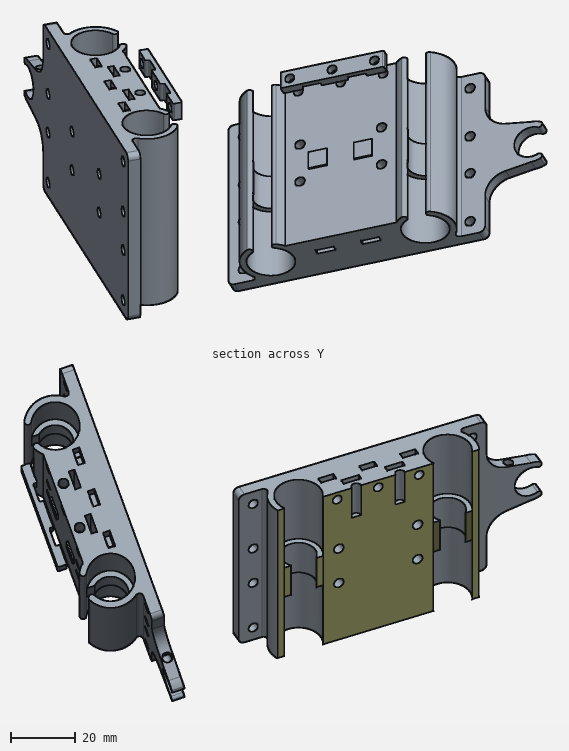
import cadquery as cq
import math


PLATE_LENGTH = 85.0
PLATE_THICKNESS = 4.0
HEIGHT = 60.0
PLATE_CORNER_RADIUS = 2.0
SCREW_DIAMETER = 3.2
EDGE_HOLE_INSET = 5.0
INNER_HOLE_X = 13.5
INNER_HOLE_Z = 7.0

CLIP_X = 25.5
CLIP_BORE_RADIUS = 7.6
CLIP_WALL = 2.2
CLIP_HALF_OPENING_ANGLE = 29
CLIP_AXIS_Y = PLATE_THICKNESS + CLIP_BORE_RADIUS
CLIP_ROOT_RADIUS = 1.2

SPACER_BORE_RADIUS = 5.7
SPACER_OPENING = 8.6
SPACER_LENGTH = 12.0

BLOCK_BACK_Y = 18.2
BELT_X = 7.5
BELT_WIDTH = 6.0
BELT_SLOT_DEPTH = 1.9
RIDGE_DEPTH = 0.6
RIDGE_HEIGHT = BELT_WIDTH
PIN_HOLE_DIAMETER = 3.1
PIN_HOLE_Y = 15.4
PIN_HOLE_LENGTH = 2 * BELT_WIDTH
NUT_WIDTH = 5.2
NUT_THICKNESS = 2.2
NUT_SLOT_Y = 8.0

BAR_LENGTH = 34.2
BAR_THICKNESS = 3.0
BAR_HEIGHT = 6.0
BAR_BACK_Y = 26.0
BAR_NOTCH_DEPTH = 1.4
BAR_EDGE_RADIUS = 0.4
BAR_SCREW_SPACING = 14.0
BAR_SCREW_DIAMETER = 3.0

NUT_SLOT_LENGTH = BAR_HEIGHT
NUT_STEP_X = INNER_HOLE_X + SCREW_DIAMETER / 2
NUT_STEP_DEPTH = 1.0

ARM_REACH = 15.2
FORK_RADIUS = 5.5
FORK_WALL = 2.1
FORK_END_REACH = 18.9
ARM_SLOPE = 9
ARM_ROOT_RADIUS = 8.0
ARM_HOLE_REACH = 8.4
ARM_HOLE_DIAMETER = 3.1
ARM_HOLE_LENGTH = 4.7
ARM_TROUGH_LENGTH = 3.7

TOP = HEIGHT / 2
BAR_MIDDLE_Z = TOP - BAR_HEIGHT / 2
BAR_SCREW_XS = (-BAR_SCREW_SPACING, 0, BAR_SCREW_SPACING)
RIDGE_BACK_Y = BLOCK_BACK_Y + RIDGE_DEPTH


def box(x_size, y_range, z_range, x=0):
    """Box centred on x, between two Y values and two Z values."""
    y_size = y_range[1] - y_range[0]
    z_size = z_range[1] - z_range[0]
    corner = (x - x_size / 2, y_range[0], z_range[0])
    return cq.Workplane("XY").box(x_size, y_size, z_size, centered=False).translate(corner)


def cylinder_y(x, z, diameter, y_start, y_end):
    return cq.Workplane("XZ", origin=(x, y_start, z)).circle(diameter / 2).extrude(y_start - y_end)


def cylinder_z(x, y, diameter, z_start, z_end):
    return cq.Workplane("XY", origin=(x, y, z_start)).circle(diameter / 2).extrude(z_end - z_start)


def c_ring(inner_radius, wall, half_angle, length):
    """Open ring about Z with round ends, its mouth facing +Y."""
    outer = inner_radius + wall
    sine = math.sin(math.radians(half_angle))
    cosine = math.cos(math.radians(half_angle))
    tip = (inner_radius * sine, inner_radius * cosine)
    return (
        cq.Workplane("XY")
        .moveTo(outer * sine, outer * cosine)
        .threePointArc((0, -outer), (-outer * sine, outer * cosine))
        .tangentArcPoint((-tip[0], tip[1]), relative=False)
        .threePointArc((0, -inner_radius), tip)
        .tangentArcPoint((outer * sine, outer * cosine), relative=False)
        .close()
        .extrude(length)
    )


def make_plate():
    plate = box(PLATE_LENGTH, (0, PLATE_THICKNESS), (-TOP, TOP))
    return plate.edges("|Y").fillet(PLATE_CORNER_RADIUS)


def make_arm():
    """Tapering arm that ends in a fork open toward -X."""
    edge_x = -PLATE_LENGTH / 2
    fork_x = edge_x - ARM_REACH
    fork_half = FORK_RADIUS + FORK_WALL
    root_half = fork_half + ARM_REACH * math.tan(math.radians(ARM_SLOPE))
    flank_z = TOP - PLATE_CORNER_RADIUS
    web = (
        cq.Workplane("XZ")
        .polyline([
            (fork_x, -fork_half),
            (edge_x, -root_half),
            (edge_x, -flank_z),
            (edge_x + ARM_ROOT_RADIUS, -flank_z),
            (edge_x + ARM_ROOT_RADIUS, flank_z),
            (edge_x, flank_z),
            (edge_x, root_half),
            (fork_x, fork_half),
        ])
        .close()
        .extrude(-PLATE_THICKNESS)
    )
    for side in (-1, 1):
        corner = cq.selectors.NearestToPointSelector((edge_x, PLATE_THICKNESS / 2, side * root_half))
        web = web.edges(corner).fillet(ARM_ROOT_RADIUS)
    web = web.cut(cylinder_y(fork_x, 0, 2 * FORK_RADIUS, 0, PLATE_THICKNESS))
    tip_reach = FORK_END_REACH - ARM_REACH - FORK_WALL / 2
    tip_angle = math.degrees(math.acos(tip_reach / (FORK_RADIUS + FORK_WALL / 2)))
    fork = (
        c_ring(FORK_RADIUS, FORK_WALL, tip_angle, PLATE_THICKNESS)
        .rotate((0, 0, 0), (0, 0, 1), 90)
        .rotate((0, 0, 0), (1, 0, 0), -90)
        .translate((fork_x, 0, 0))
    )
    return web.union(fork).cut(make_arm_hole(edge_x - ARM_HOLE_REACH, root_half))


def make_arm_hole(x, top_z):
    """Blind hole down from the upper flank, its floor a half-round trough along X."""
    axis_y = PLATE_THICKNESS / 2
    floor_z = top_z - ARM_HOLE_LENGTH
    shaft = cylinder_z(x, axis_y, ARM_HOLE_DIAMETER, floor_z, top_z)
    trough_start = (x - ARM_TROUGH_LENGTH / 2, axis_y, floor_z)
    trough = (
        cq.Workplane("YZ", origin=trough_start)
        .circle(ARM_HOLE_DIAMETER / 2)
        .extrude(ARM_TROUGH_LENGTH)
    )
    return shaft.union(trough)


def make_clip(x):
    ring = c_ring(CLIP_BORE_RADIUS, CLIP_WALL, CLIP_HALF_OPENING_ANGLE, HEIGHT)
    return ring.translate((x, CLIP_AXIS_Y, -TOP))


def make_clip_root(side):
    """Concave fillet between the plate and the outer flank of a clip."""
    outer = CLIP_BORE_RADIUS + CLIP_WALL
    rise = CLIP_AXIS_Y - PLATE_THICKNESS - CLIP_ROOT_RADIUS
    offset = math.sqrt((outer + CLIP_ROOT_RADIUS) ** 2 - rise ** 2)
    centre = (side * (CLIP_X + offset), PLATE_THICKNESS + CLIP_ROOT_RADIUS)
    fill = (
        cq.Workplane("XY", origin=(0, 0, -TOP))
        .polyline([
            (side * CLIP_X, PLATE_THICKNESS),
            (centre[0], PLATE_THICKNESS),
            centre,
            (side * CLIP_X, CLIP_AXIS_Y),
        ])
        .close()
        .extrude(HEIGHT)
    )
    return fill.cut(cylinder_z(*centre, 2 * CLIP_ROOT_RADIUS, -TOP, TOP))


def make_body_shell():
    """Plate, arm, block and clips, before the holes and slots are cut."""
    block = box(2 * CLIP_X, (0, BLOCK_BACK_Y), (-TOP, TOP))
    shell = make_plate().union(make_arm()).union(block)
    for side in (-1, 1):
        x = side * CLIP_X
        bore = cylinder_z(x, CLIP_AXIS_Y, 2 * CLIP_BORE_RADIUS, -TOP, TOP)
        mouth = box(CLIP_BORE_RADIUS, (CLIP_AXIS_Y, BLOCK_BACK_Y), (-TOP, TOP), x)
        shell = shell.union(make_clip_root(side)).cut(bore).cut(mouth).union(make_clip(x))
    return shell


def add_belt_path(body, x):
    """Belt slot, pin hole and the clamping ridge on the back of the block."""
    half_slot = BELT_SLOT_DEPTH / 2
    half_ridge = RIDGE_HEIGHT / 2
    slot = box(BELT_WIDTH, (CLIP_AXIS_Y - half_slot, CLIP_AXIS_Y + half_slot), (-TOP, TOP), x)
    pin_hole = cylinder_z(x, PIN_HOLE_Y, PIN_HOLE_DIAMETER, TOP - PIN_HOLE_LENGTH, TOP)
    ridge = box(BELT_WIDTH, (BLOCK_BACK_Y, RIDGE_BACK_Y), (-half_ridge, half_ridge), x)
    return body.cut(slot).cut(pin_hole).union(ridge)


def cut_nut_slot(body, x):
    """Nut slot open at the top, with the screw hole that reaches it from the back."""
    across = (NUT_SLOT_Y - NUT_THICKNESS / 2, NUT_SLOT_Y + NUT_THICKNESS / 2)
    slot = box(NUT_WIDTH, across, (TOP - NUT_SLOT_LENGTH, TOP), x)
    screw = cylinder_y(x, BAR_MIDDLE_Z, BAR_SCREW_DIAMETER, NUT_SLOT_Y, BLOCK_BACK_Y)
    return body.cut(slot).cut(screw)


def cut_nut_slot_step(body, side):
    """Deeper floor in the inner part of an outer nut slot."""
    floor_z = TOP - NUT_SLOT_LENGTH
    inner_x = BAR_SCREW_SPACING - NUT_WIDTH / 2
    across = (NUT_SLOT_Y - NUT_THICKNESS / 2, NUT_SLOT_Y + NUT_THICKNESS / 2)
    middle_x = side * (NUT_STEP_X + inner_x) / 2
    return body.cut(box(NUT_STEP_X - inner_x, across, (floor_z - NUT_STEP_DEPTH, floor_z), middle_x))


def cut_screw_holes(body):
    """Rows of four along the plate ends and two pairs through the block."""
    edge_x = PLATE_LENGTH / 2 - EDGE_HOLE_INSET
    edge_z = TOP - EDGE_HOLE_INSET
    for side in (-1, 1):
        for z in (-edge_z, -INNER_HOLE_Z, INNER_HOLE_Z, edge_z):
            body = body.cut(cylinder_y(side * edge_x, z, SCREW_DIAMETER, 0, PLATE_THICKNESS))
        for z in (-INNER_HOLE_Z, INNER_HOLE_Z):
            body = body.cut(cylinder_y(side * INNER_HOLE_X, z, SCREW_DIAMETER, 0, RIDGE_BACK_Y))
    return body


def make_carriage():
    body = make_body_shell()
    for side in (-1, 1):
        body = add_belt_path(body, side * BELT_X)
    for x in BAR_SCREW_XS:
        body = cut_nut_slot(body, x)
    for side in (-1, 1):
        body = cut_nut_slot_step(body, side)
    return cut_screw_holes(body)


def make_spacer(x):
    ring = cq.Workplane("XY").circle(CLIP_BORE_RADIUS).circle(SPACER_BORE_RADIUS).extrude(SPACER_LENGTH)
    mouth = box(SPACER_OPENING, (0, CLIP_BORE_RADIUS), (0, SPACER_LENGTH))
    return ring.cut(mouth).translate((x, CLIP_AXIS_Y, -SPACER_LENGTH / 2))


def make_clamp_bar():
    front_y = BAR_BACK_Y - BAR_THICKNESS
    heights = (TOP - BAR_HEIGHT, TOP)
    bar = box(BAR_LENGTH, (front_y, BAR_BACK_Y), heights)
    for x in (-BELT_X, BELT_X):
        bar = bar.cut(box(BELT_WIDTH, (front_y, front_y + BAR_NOTCH_DEPTH), heights, x))
    bar = bar.edges("|Z").fillet(BAR_EDGE_RADIUS)
    for x in BAR_SCREW_XS:
        bar = bar.cut(cylinder_y(x, BAR_MIDDLE_Z, BAR_SCREW_DIAMETER, front_y, BAR_BACK_Y))
    return bar


carriage = make_carriage()
clamp_bar = make_clamp_bar()
spacers = [make_spacer(side * CLIP_X) for side in (-1, 1)]

result = cq.Compound.makeCompound([
    carriage.val(),
    clamp_bar.val(),
    *[spacer.val() for spacer in spacers],
])